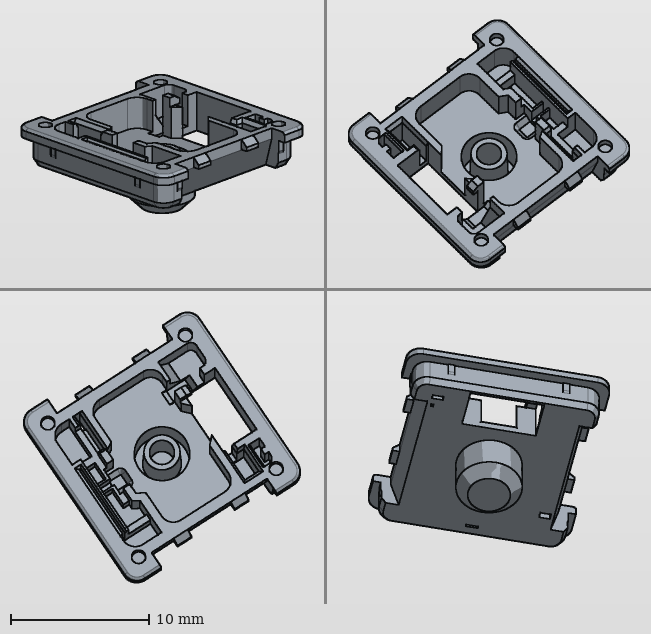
import cadquery as cq


rim_z = 0.8
shelf_z = -0.4
floor_z = -1.6
recess_z = -2.0
base_z = -2.2
post_z = -5.5
hook_z = 1.5

overlap = 0.15

flange_size = 15.0
body_size = 13.75
corner_radius = 1.05
rim_round_radius = 0.33
rim_side_trim = 0.022
rim_top_trim = 0.006
base_bevel_width = 0.3
base_bevel_height = 0.5

side_x = 6.21
side_foot_x = 5.61
side_half_length = 5.0
catch_x = 6.72
catch_z = 0.3
catch_width = 1.23
catch_y = 2.48

snap_width = 0.5
snap_depth = 0.06
snap_z = -0.8
snap_end_z = -0.99
snap_x = 4.25
snap_y = side_half_length + snap_width / 2

post_diameter = 4.8
post_bevel = 0.85
seat_diameter = 4.0
seat_z = post_z + post_bevel
tube_diameter = 2.8
tube_top_diameter = 2.61
tube_bore = 1.8
tube_z = floor_z + 0.39

pin_hole_diameter = 1.0
pin_hole_pitch = 11.91
pin_hole_depth = 0.57

inner_x = 5.35
inner_y = 6.2
hall_y = 2.9
inner_radius = 1.0
small_radius = 0.5

rear_mouth_x = 1.88
rear_throat_x = 1.29
front_mouth_x = 2.26
front_throat_x = 1.9
front_step_y = -3.51
gate_x = 1.08
gate_y = -4.32

pit_half_width = 0.82
pit_length = 2.1
pit_radius = 0.44

window_x = 2.73
window_y0 = 3.45
window_y1 = 6.39

bay_y = 3.21
bay_x = -3.32
bay_step_y = 5.48
ramp_y = 4.1
channel_x = -3.78
channel_y0 = 2.48
channel_y1 = 4.88
channel_slope = 0.4
hook_x = -2.02
hook_nose_y = 3.9
hook_nose_z = 1.2

nook_x = 3.39
nook_y = 5.22
nook_lip = 0.14
tab_x0 = 4.12
tab_x1 = 4.62
tab_y = 5.85
slit_x = 4.55
slit_width = 0.3
well_y0 = 3.65
well_y1 = 4.85
well_lip_x = 0.25
well_lip_rear = 0.21
well_exit_y = 4.25
vent_x = 5.12
vent_y = 4.6
vent_size = 0.18

lip_width = 0.2
lip_depth = 0.33
slot_x = -2.2
slot_y0 = -4.02
slot_y1 = -3.58
slot_open_x = -4.56
shelf_y = -4.06
shelf_front_y = -5.46
step_y = -4.5
left_pocket_x = -2.4
right_y = -3.57
right_bend_x0 = 2.22
right_bend_x1 = 2.52
bar_x0 = 3.4
bar_x1 = 3.9
pocket_y = -4.58
pocket_x = 1.86
key_x = 0.27
web_x = 0.44
blade_x = -1.88
blade_y0 = -5.95
blade_y1 = -5.79
blade_lip_depth = 0.2
blade_lip_rear = 0.15


def box(x0, x1, y0, y1, z0, z1):
    return cq.Workplane("XY").box(x1 - x0, y1 - y0, z1 - z0, centered=False).translate((x0, y0, z0))


def pocket(x0, x1, y0, y1, bottom=floor_z):
    """Cutter that is open at the rim."""
    return box(x0, x1, y0, y1, bottom, rim_z)


def through_hole(x0, x1, y0, y1):
    return pocket(x0, x1, y0, y1, base_z)


def rounded_square(size, radius, z0, z1):
    half = size / 2
    return box(-half, half, -half, half, z0, z1).edges("|Z").fillet(radius)


def cylinder(diameter, z0, z1):
    return cq.Workplane("XY").workplane(offset=z0).circle(diameter / 2).extrude(z1 - z0)


def prism(xy_points, z0, z1):
    return cq.Workplane("XY").workplane(offset=z0).polyline(xy_points).close().extrude(z1 - z0)


def prism_along_x(yz_points, x0, x1):
    return cq.Workplane("YZ").workplane(offset=x0).polyline(yz_points).close().extrude(x1 - x0)


def prism_along_y(xz_points, y0, y1):
    return cq.Workplane("XZ").workplane(offset=-y1).polyline(xz_points).close().extrude(y1 - y0)


def funnel(inner, left, right, front, rear, depth):
    """Lead-in from the rim down to the inner (x0, x1, y0, y1), widened at the top by the four margins."""
    x0, x1, y0, y1 = inner
    wide = (x1 - x0 + left + right, y1 - y0 + front + rear)
    shift = ((right - left) / 2, (rear - front) / 2)
    middle = cq.Workplane("XY", origin=((x0 + x1) / 2, (y0 + y1) / 2, rim_z - depth))
    return middle.rect(x1 - x0, y1 - y0).workplane(offset=depth).center(*shift).rect(*wide).loft(ruled=True)


def make_shell():
    flange = rounded_square(flange_size, corner_radius, 0, rim_z)
    cap = rounded_square(flange_size + 2 * rim_side_trim, corner_radius + rim_side_trim,
                         0, rim_z + rim_top_trim)
    cap = cap.faces(">Z").edges().fillet(rim_round_radius)
    body = rounded_square(body_size, corner_radius, base_z, 0)
    body = body.faces("<Z").chamfer(base_bevel_height, base_bevel_width)
    return flange.intersect(cap).union(body)


def add_snap_ribs(part):
    face = body_size / 2
    root = face - overlap
    tip = face + snap_depth
    profile = [(root, 0), (tip, 0), (tip, snap_z), (face, snap_end_z), (root, snap_end_z)]
    for turn, place in ((0, snap_y), (90, snap_x), (180, snap_y), (270, snap_x)):
        for middle in (-place, place):
            rib = prism_along_y(profile, middle - snap_width / 2, middle + snap_width / 2)
            part = part.union(rib.rotate((0, 0, 0), (0, 0, 1), turn))
    return part


def shape_sides(part):
    root = side_x - overlap
    outside = flange_size
    recess = [(side_x, rim_z), (side_x, 0), (side_foot_x, base_z), (outside, base_z), (outside, rim_z)]
    catch = [(root, rim_z), (side_x, rim_z), (catch_x, catch_z), (catch_x, 0), (root, 0)]
    for side in (1, -1):
        recess_points = [(side * x, z) for x, z in recess]
        catch_points = [(side * x, z) for x, z in catch]
        part = part.cut(prism_along_y(recess_points, -side_half_length, side_half_length))
        for y in (-catch_y, catch_y):
            part = part.union(prism_along_y(catch_points, y - catch_width / 2, y + catch_width / 2))
    return part


def add_post(part):
    post = cylinder(post_diameter, post_z, floor_z)
    return part.union(post.faces("<Z").chamfer(post_bevel))


def cut_main_cavity(part):
    hall = pocket(-inner_x, inner_x, -hall_y, hall_y).edges("|Z").fillet(inner_radius)
    rear = prism([(-rear_mouth_x, hall_y), (-rear_throat_x, window_y0),
                  (rear_throat_x, window_y0), (rear_mouth_x, hall_y)], floor_z, rim_z)
    front_half = [(front_mouth_x, -hall_y), (front_throat_x, front_step_y),
                  (gate_x, front_step_y), (gate_x, gate_y)]
    mirrored_half = [(-x, y) for x, y in reversed(front_half)]
    front = prism(front_half + mirrored_half, floor_z, rim_z)
    return part.cut(hall).cut(rear).cut(front)


def cut_spring_seat(part):
    seat = cylinder(seat_diameter, seat_z, floor_z)
    tube = (cq.Workplane("XY").workplane(offset=seat_z).circle(tube_diameter / 2)
            .workplane(offset=tube_z - seat_z).circle(tube_top_diameter / 2).loft())
    bore = cylinder(tube_bore, seat_z, tube_z)
    return part.cut(seat).union(tube).cut(bore)


def cut_pit(part):
    """Recess with 45 degree walls, cut off square where the cavity floor ends."""
    outline = cq.Sketch().rect(2 * pit_half_width, pit_length).vertices().fillet(pit_radius)
    pit = cq.Workplane("XY").placeSketch(outline).extrude(recess_z - floor_z, taper=45)
    pit = pit.translate((0, -hall_y - pit_length / 2, floor_z))
    return part.cut(pit.intersect(box(-gate_x, gate_x, gate_y, 0, base_z, floor_z)))


def cut_rear_left(part):
    bay = pocket(-inner_x, bay_x, bay_y, inner_y).edges("|Z and >Y").fillet(small_radius)
    ramp = prism_along_x([(bay_y, shelf_z), (ramp_y, floor_z), (bay_y, floor_z)], -inner_x, channel_x)
    channel = pocket(channel_x, -window_x, channel_y0, bay_step_y)
    recess = prism_along_x([(channel_y0, floor_z), (channel_y0 + channel_slope, recess_z),
                            (channel_y1 - channel_slope, recess_z), (channel_y1, floor_z)],
                           channel_x, -window_x)
    hook = prism_along_x([(hall_y, rim_z - overlap), (hall_y, hook_z), (window_y0, hook_z),
                          (hook_nose_y, hook_nose_z), (hook_nose_y, rim_z), (window_y0, rim_z),
                          (window_y0, rim_z - overlap)], -window_x, hook_x)
    return part.cut(bay.cut(ramp)).cut(channel).cut(recess).union(hook)


def cut_rear_right(part):
    nook_floor_y = nook_y + nook_lip
    nook = pocket(nook_x, inner_x, nook_floor_y, inner_y).edges("|Z and >X and >Y").fillet(small_radius)
    nook = nook.cut(pocket(tab_x0, tab_x1, tab_y, inner_y))
    nook_bevel = prism_along_x([(nook_y, rim_z), (nook_floor_y, rim_z), (nook_floor_y, rim_z - nook_lip)],
                               nook_x, inner_x)
    slit = through_hole(slit_x, inner_x, nook_floor_y, nook_floor_y + slit_width)

    well = pocket(nook_x, inner_x, well_y0, well_y1, recess_z)
    well_lip = funnel((nook_x, inner_x, well_y0, well_y1), lip_width, well_lip_x, lip_width, well_lip_rear,
                      lip_depth)
    well_exit = pocket(window_x, nook_x, well_y0, well_exit_y)
    exit_lip = funnel((window_x, nook_x, well_y0, well_exit_y), 0, 0, lip_width, lip_width, lip_depth)
    vent = through_hole(vent_x, vent_x + vent_size, vent_y, vent_y + vent_size)
    for cutter in (nook, nook_bevel, slit, well, well_lip, well_exit, exit_lip, vent):
        part = part.cut(cutter)
    return part


def cut_side_slot(part):
    slot = pocket(-inner_x, slot_x, slot_y0, slot_y1)
    slot_open = through_hole(-inner_x, slot_open_x, slot_y0, slot_y1)
    slot_lip = funnel((-inner_x, slot_x, slot_y0, slot_y1), 0, lip_width, lip_width, lip_width, lip_depth)
    slot_front = pocket(slot_open_x, slot_x, shelf_y, slot_y1, shelf_z)
    return part.cut(slot).cut(slot_open).cut(slot_lip).cut(slot_front)


def cut_front_pockets(part):
    right_bend = [(right_bend_x0, shelf_y), (right_bend_x1, right_y)]
    shelf = prism([(slot_open_x, shelf_y), (-gate_x, shelf_y), (-gate_x, gate_y), (gate_x, gate_y),
                   (gate_x, shelf_y), *right_bend, (bar_x1, right_y), (bar_x1, shelf_front_y),
                   (left_pocket_x, shelf_front_y), (left_pocket_x, step_y), (slot_open_x, step_y)],
                  shelf_z, rim_z)
    left = pocket(-inner_x, left_pocket_x, -inner_y, step_y).edges("|Z and <X and <Y").fillet(inner_radius)
    right = pocket(bar_x1, inner_x, -inner_y, right_y).edges("|Z and >X and <Y").fillet(inner_radius)
    middle_left = box(-pocket_x, -web_x, shelf_front_y, pocket_y, floor_z, shelf_z)
    middle_right = prism([(web_x, shelf_front_y), (web_x, pocket_y), (pocket_x, pocket_y),
                          (pocket_x, shelf_y), *right_bend, (bar_x0, right_y), (bar_x0, shelf_front_y)],
                         floor_z, shelf_z)
    key = box(-key_x, key_x, shelf_front_y, gate_y, floor_z, shelf_z)
    for cutter in (shelf, left, right, middle_left, middle_right, key):
        part = part.cut(cutter)
    return part


def cut_blade_slot(part):
    blade = pocket(blade_x, bar_x1, blade_y0, blade_y1)
    blade_open = through_hole(-web_x, web_x, blade_y0, blade_y1)
    blade_lip = funnel((blade_x, bar_x1, blade_y0, blade_y1), lip_width, 0, inner_y + blade_y0,
                       blade_lip_rear, blade_lip_depth)
    return part.cut(blade).cut(blade_open).cut(blade_lip)


def cut_pin_holes(part):
    hole = cylinder(pin_hole_diameter, rim_z - pin_hole_depth, rim_z)
    for x in (-pin_hole_pitch / 2, pin_hole_pitch / 2):
        for y in (-pin_hole_pitch / 2, pin_hole_pitch / 2):
            part = part.cut(hole.translate((x, y, 0)))
    return part


part = add_snap_ribs(make_shell())
part = shape_sides(part)
part = add_post(part)
part = cut_main_cavity(part)
part = cut_spring_seat(part)
part = cut_pit(part)
part = part.cut(through_hole(-window_x, window_x, window_y0, window_y1))
part = cut_rear_left(part)
part = cut_rear_right(part)
part = cut_side_slot(part)
part = cut_front_pockets(part)
part = cut_blade_slot(part)
part = cut_pin_holes(part)
result = part